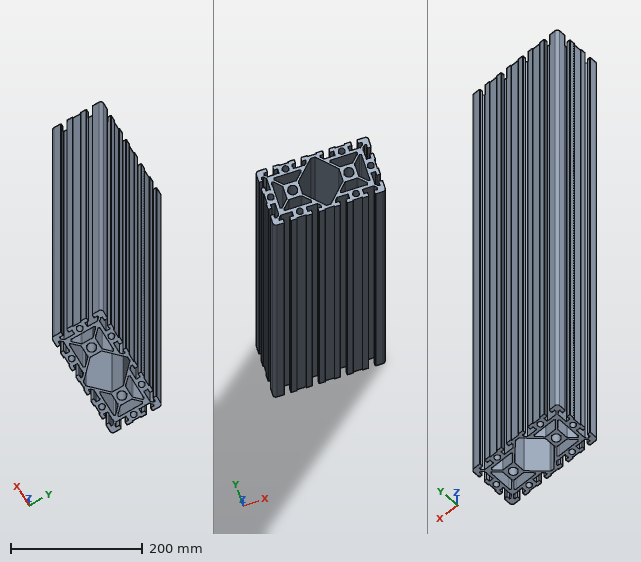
import cadquery as cq
import math

width = 180.0
depth = 90.0
length = 1000.0
pitch = 45.0
corner_radius = 5.0

slot_opening = 10.0
slot_mouth_bevel = 1.0
slot_inner = 22.0
slot_depth = 13.0
lip_thickness = 6.0

recess_width = 15.0
recess_depth = 1.5
small_bore_diameter = 10.0
small_bore_offset = 9.8

wall_offset = 18.0
rib_thickness = 3.5
tube_size = 25.0
bore_diameter = 15.0
inner_corner_radius = 2.0
chamber_height = 78.0

half_width = width / 2
half_depth = depth / 2
rib_offset = rib_thickness / math.sqrt(2)
tube_centres = [(-pitch, 0), (pitch, 0)]


def prism(outline):
    """Extrude a closed outline over the full length, centred on the origin."""
    return outline.extrude(length / 2, both=True)


def box(x_size, y_size):
    return prism(cq.Workplane("XY").rect(x_size, y_size))


def cylinder(centre, diameter):
    return prism(cq.Workplane("XY").center(*centre).circle(diameter / 2))


def turned(body, angle):
    return body.rotate((0, 0, 0), (0, 0, 1), angle)


def on_long_sides(cutter, x):
    """A cutter placed at x on the +Y side, and its mirror image on the -Y side."""
    back = cutter.translate((x, half_depth, 0))
    return [back, back.mirror("XZ")]


def on_short_sides(cutter, y):
    """A cutter turned onto the -X side at y, and its mirror image on the +X side."""
    left = turned(cutter, 90).translate((-half_width, y, 0))
    return [left, left.mirror("YZ")]


def t_slot():
    """Undercut slot with its mouth on the X axis; its floor is bevelled along a rib on the -X side."""
    half_opening = slot_opening / 2
    half_inner = slot_inner / 2
    bevel_reach = pitch / 2 - rib_offset
    outline = [
        (half_opening + slot_mouth_bevel, 0),
        (half_opening, -slot_mouth_bevel),
        (half_opening, -lip_thickness),
        (half_inner, -lip_thickness),
        (half_inner, -slot_depth),
        (slot_depth - bevel_reach, -slot_depth),
        (-half_inner, half_inner - bevel_reach),
        (-half_inner, -lip_thickness),
        (-half_opening, -lip_thickness),
        (-half_opening, -slot_mouth_bevel),
        (-half_opening - slot_mouth_bevel, 0),
    ]
    return prism(cq.Workplane("XY").polyline(outline).close())


def diagonal_ribs(centre):
    """Two crossed bars at 45 degrees through a tube centre."""
    bar = box(2 * depth, rib_thickness)
    return turned(bar, 45).union(turned(bar, -45)).translate(centre)


def central_chamber():
    """Diamond between the inner ribs, flattened at its +Y and -Y tips."""
    reach = pitch - rib_offset
    tips = [(reach, 0), (0, reach), (-reach, 0), (0, -reach)]
    diamond = prism(cq.Workplane("XY").polyline(tips).close())
    return diamond.intersect(box(width, chamber_height))


def inner_chambers():
    """The empty space inside the outer wall, around the ribs and tubes."""
    space = box(width - 2 * wall_offset, depth - 2 * wall_offset)
    for centre in tube_centres:
        space = space.cut(diagonal_ribs(centre))
    space = space.union(central_chamber())
    for centre in tube_centres:
        space = space.cut(box(tube_size, tube_size).translate(centre))
    return space.edges("|Z").fillet(inner_corner_radius)


cutters = [inner_chambers()]
cutters += [cylinder(centre, bore_diameter) for centre in tube_centres]

slot = t_slot()
flipped_slot = slot.mirror("YZ")
for tube_x, _ in tube_centres:
    cutters += on_long_sides(slot, tube_x - pitch / 2)
    cutters += on_long_sides(flipped_slot, tube_x + pitch / 2)
cutters += on_short_sides(slot, -pitch / 2)
cutters += on_short_sides(flipped_slot, pitch / 2)

recess = box(recess_width, 2 * recess_depth)
small_bore = cylinder((0, -small_bore_offset), small_bore_diameter)
cutters += on_long_sides(recess, 0)
for tube_x, _ in tube_centres:
    cutters += on_long_sides(recess, tube_x)
    cutters += on_long_sides(small_bore, tube_x)
cutters += on_short_sides(recess, 0)
cutters += on_short_sides(small_bore, 0)

result = box(width, depth).edges("|Z").fillet(corner_radius)
for cutter in cutters:
    result = result.cut(cutter)